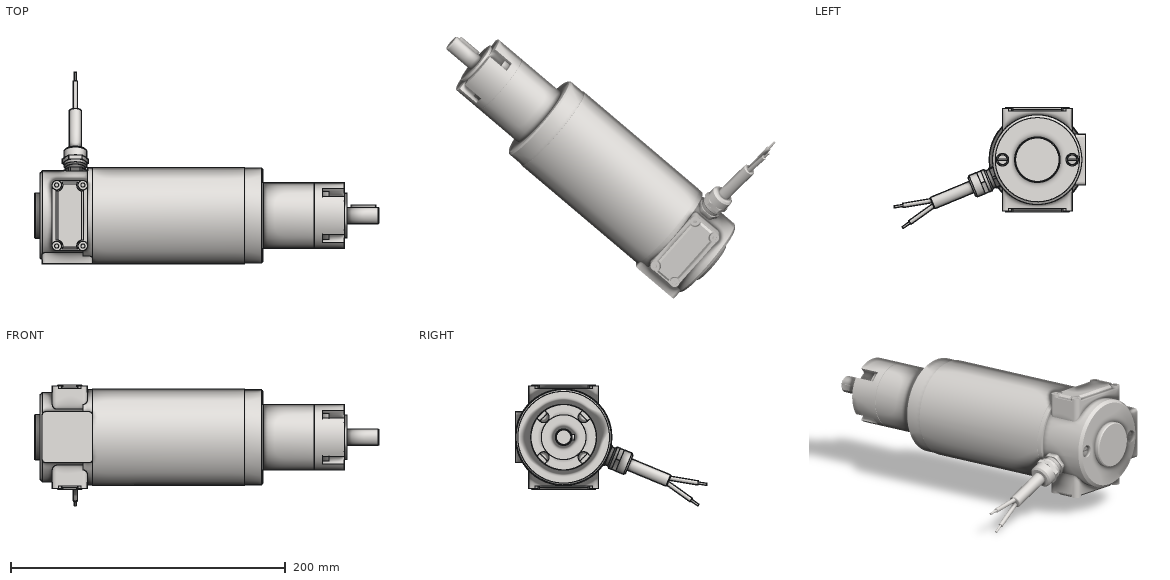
import cadquery as cq
import math


BOSS_X = 0.0
COVER_X = 4.0
PAD_X = 5.8
FLANGE_X = 39.0
TUBE_X = 42.5
RING_X = 153.0
GEARBOX_X = 166.5
GEAR_SPLIT_X = 203.8
PILOT_X = 225.6
SHAFT_X = 227.7
SHAFT_END_X = 251.0

BOSS_R = 16.5
BELL_R = 32.6
FLANGE_R = 35.0
TUBE_R = 35.1
RING_R = 34.6
GEARBOX_R = 48.0 / 2
PILOT_R = 16.3
SHAFT_R = 12.0 / 2
BOSS_CHAMFER = 0.8
COVER_CHAMFER = 2.0
RING_CHAMFER = 1.3
SHAFT_CHAMFER = 0.8
GROOVE_WIDTH = 0.5
GROOVE_DEPTH = 0.3

COVER_SCREW_OFFSET = 25.4
COVER_RECESS_D = 9.0
COVER_RECESS_DEPTH = 4.0
COVER_HEAD_D = 7.0
COVER_HEAD_HEIGHT = 2.0
COVER_SLOT_WIDTH = 1.0
COVER_SLOT_DEPTH = 1.0

BOX_X = 13.0
BOX_LENGTH = 25.5
BOX_WIDTH = 51.0
BOX_TOP = 35.5
BOX_CORNER_R = 3.3
LID_TOP = 38.2
LID_LENGTH = 19.8
LID_WIDTH = 48.7
LID_CHAMFER = 1.5
LID_NOTCH_R = 4.5
BOX_BOSS_TOP = 37.5
BOX_BOSS_R = 3.5
BOX_BOSS_HOLE_D = 3.0
BOX_BOSS_HOLE_DEPTH = 1.3

PAD_HEIGHT = 37.1
PAD_CORNER_R = 2.5
RIB_X = 35.6
RIB_START_Y = 18.5

KEY_X = 230.5
KEY_LENGTH = 18.0
KEY_WIDTH = 4.0
KEY_TOP = 7.8

SLOT_X = 209.5
SLOT_STEP_X = 214.4
SLOT_WIDTH = 8.0
SLOT_AXIS_R = 20.5
SLOT_ANGLES = (45, 135, 225, 315)

GLAND_X = 29.9
GLAND_TILT = 22.5
GLAND_NECK_D = 14.0
GLAND_BASE_D = 17.0
GLAND_CAP_D = 16.8
GLAND_HEX_FLATS = 16.5
GLAND_HEX_D = 19.0
GLAND_BASE_FLATS = 15.5
GLAND_START = 25.0
GLAND_BASE_TOP = 35.1
GLAND_COLLAR_START = 37.6
GLAND_HEX_START = 41.2
GLAND_CAP_START = 44.5
GLAND_TOP = 51.7
GLAND_CHAMFER = 1.3
CABLE_D = 9.0
CABLE_END = 82.8
CABLE_CHAMFER = 0.5

WIRE_D = 3.3
WIRE_LENGTH = 20.8
CORE_D = 1.7
CORE_LENGTH = 27.4
WIRE_OFFSET = 2.0
WIRE_SPREAD = 13.0
WIRE_ROOT = 2.5


def disc(x_start, x_end, radius):
    """Cylinder about the motor axis."""
    return cq.Workplane("YZ").workplane(offset=x_start).circle(radius).extrude(x_end - x_start)


def groove(x_centre, radius):
    """Shallow ring to be cut where two housings meet."""
    x_start = x_centre - GROOVE_WIDTH / 2
    outer = disc(x_start, x_start + GROOVE_WIDTH, radius + GROOVE_DEPTH)
    return outer.cut(disc(x_start, x_start + GROOVE_WIDTH, radius - GROOVE_DEPTH))


def turned_bodies():
    body = disc(BOSS_X, COVER_X, BOSS_R).faces("<X").chamfer(BOSS_CHAMFER)
    body = body.union(disc(COVER_X, FLANGE_X, BELL_R).faces("<X").chamfer(COVER_CHAMFER))
    body = body.union(disc(FLANGE_X, TUBE_X, FLANGE_R))
    body = body.union(disc(TUBE_X, RING_X, TUBE_R))
    body = body.union(disc(RING_X, GEARBOX_X, RING_R).faces(">X").chamfer(RING_CHAMFER))
    body = body.union(disc(GEARBOX_X, PILOT_X, GEARBOX_R))
    body = body.union(disc(PILOT_X, SHAFT_X, PILOT_R))
    shaft = disc(SHAFT_X, SHAFT_END_X, SHAFT_R).faces(">X").chamfer(SHAFT_CHAMFER)
    body = body.union(shaft)
    body = body.cut(groove(GEARBOX_X + GROOVE_WIDTH / 2, GEARBOX_R))
    return body.cut(groove(GEAR_SPLIT_X, GEARBOX_R))


def cover_screw(side):
    """Return the recess and the slotted head for one rear cover screw."""
    centre = (side * COVER_SCREW_OFFSET, 0)
    floor_x = COVER_X + COVER_RECESS_DEPTH
    floor = cq.Workplane("YZ").workplane(offset=floor_x).center(*centre)
    recess = floor.circle(COVER_RECESS_D / 2).extrude(-COVER_RECESS_DEPTH)
    head = floor.circle(COVER_HEAD_D / 2).extrude(-COVER_HEAD_HEIGHT)
    head_top = floor.workplane(offset=-COVER_HEAD_HEIGHT)
    slot = head_top.rect(COVER_HEAD_D, COVER_SLOT_WIDTH).extrude(COVER_SLOT_DEPTH)
    return recess, head.cut(slot)


def brush_box():
    """Box on the +Z side, with a raised lid notched around four corner screws."""
    base = cq.Workplane("XY").center(BOX_X + BOX_LENGTH / 2, 0)
    box = base.rect(BOX_LENGTH, BOX_WIDTH).extrude(BOX_BOSS_TOP).edges("|Z").fillet(BOX_CORNER_R)

    ledge = base.workplane(offset=BOX_TOP)
    screw_grid = (BOX_LENGTH - 2 * BOX_CORNER_R, BOX_WIDTH - 2 * BOX_CORNER_R)
    screws = ledge.rect(*screw_grid, forConstruction=True).vertices()
    waste = ledge.rect(BOX_LENGTH, BOX_WIDTH).extrude(BOX_BOSS_TOP - BOX_TOP)
    box = box.cut(waste.cut(screws.circle(BOX_BOSS_R).extrude(BOX_BOSS_TOP - BOX_TOP)))

    lid = ledge.rect(LID_LENGTH, LID_WIDTH).extrude(LID_TOP - BOX_TOP).faces(">Z").chamfer(LID_CHAMFER)
    box = box.union(lid.cut(screws.circle(LID_NOTCH_R).extrude(LID_TOP - BOX_TOP)))

    boss_faces = base.workplane(offset=BOX_BOSS_TOP).rect(*screw_grid, forConstruction=True).vertices()
    return box.cut(boss_faces.circle(BOX_BOSS_HOLE_D / 2).extrude(-BOX_BOSS_HOLE_DEPTH))


def mounting_pad():
    """Flat rounded pad with a rib joining it to the flange."""
    length = TUBE_X - PAD_X
    pad = cq.Workplane("XZ").center(PAD_X + length / 2, 0).rect(length, PAD_HEIGHT).extrude(TUBE_R)
    pad = pad.edges("|Y").fillet(PAD_CORNER_R)
    rib_side = cq.Workplane("XY").box(TUBE_X, TUBE_R, 2 * TUBE_R, centered=(False, False, True))
    rib_side = rib_side.translate((0, -RIB_START_Y - TUBE_R, 0))
    rib = disc(RIB_X, TUBE_X, FLANGE_R).intersect(rib_side)
    return pad.union(rib)


def shaft_key():
    centre = KEY_X + KEY_LENGTH / 2
    return cq.Workplane("XZ").center(centre, 0).slot2D(KEY_LENGTH, KEY_WIDTH).extrude(-KEY_TOP)


def nose_slot(angle):
    """Round-bottomed channel ending in a shallower square step."""
    channel = disc(SLOT_STEP_X, PILOT_X, SLOT_WIDTH / 2).translate((0, SLOT_AXIS_R, 0))
    step_length = PILOT_X - SLOT_X
    step = cq.Workplane("XY").box(step_length, SLOT_WIDTH, SLOT_WIDTH, centered=(False, False, True))
    step = step.translate((SLOT_X, SLOT_AXIS_R, 0))
    return channel.union(step).rotate((0, 0, 0), (1, 0, 0), angle)


def rod(start, end, diameter):
    """Cylinder along +Y, the gland direction before tilting."""
    return cq.Workplane("XZ").workplane(offset=-start).circle(diameter / 2).extrude(start - end)


def hexagon(start, end, flats):
    """Hexagonal bar along +Y with two corners on the X axis."""
    corners = flats / math.cos(math.radians(30))
    return cq.Workplane("XZ").workplane(offset=-start).polygon(6, corners).extrude(start - end)


def gland():
    neck = rod(GLAND_START, GLAND_COLLAR_START, GLAND_NECK_D)
    base = rod(GLAND_START, GLAND_BASE_TOP, GLAND_BASE_D)
    base = base.intersect(hexagon(GLAND_START, GLAND_BASE_TOP, GLAND_BASE_FLATS))
    collar = rod(GLAND_COLLAR_START, GLAND_HEX_START, GLAND_CAP_D).faces("<Y").chamfer(GLAND_CHAMFER)
    nut = rod(GLAND_HEX_START, GLAND_CAP_START, GLAND_HEX_D)
    nut = nut.intersect(hexagon(GLAND_HEX_START, GLAND_CAP_START, GLAND_HEX_FLATS))
    cap = rod(GLAND_CAP_START, GLAND_TOP, GLAND_CAP_D).faces(">Y").chamfer(GLAND_CHAMFER)
    return neck.union(base).union(collar).union(nut).union(cap)


def wire(side):
    """Insulated wire with a bare core, rooted inside the cable."""
    strand = rod(-WIRE_ROOT, WIRE_LENGTH, WIRE_D).union(rod(0, CORE_LENGTH, CORE_D))
    strand = strand.rotate((0, 0, 0), (1, 0, 0), side * WIRE_SPREAD)
    return strand.translate((0, CABLE_END, side * WIRE_OFFSET))


def cable():
    sheath = rod(GLAND_TOP, CABLE_END, CABLE_D).faces(">Y").chamfer(CABLE_CHAMFER)
    assembly = gland().union(sheath)
    for side in (-1, 1):
        assembly = assembly.union(wire(side))
    return assembly.rotate((0, 0, 0), (1, 0, 0), -GLAND_TILT).translate((GLAND_X, 0, 0))


result = turned_bodies()
upper_box = brush_box()
result = result.union(upper_box).union(upper_box.mirror("XY"))
result = result.union(mounting_pad()).union(shaft_key()).union(cable())
for slot_angle in SLOT_ANGLES:
    result = result.cut(nose_slot(slot_angle))
for screw_side in (-1, 1):
    screw_recess, screw_head = cover_screw(screw_side)
    result = result.cut(screw_recess).union(screw_head)